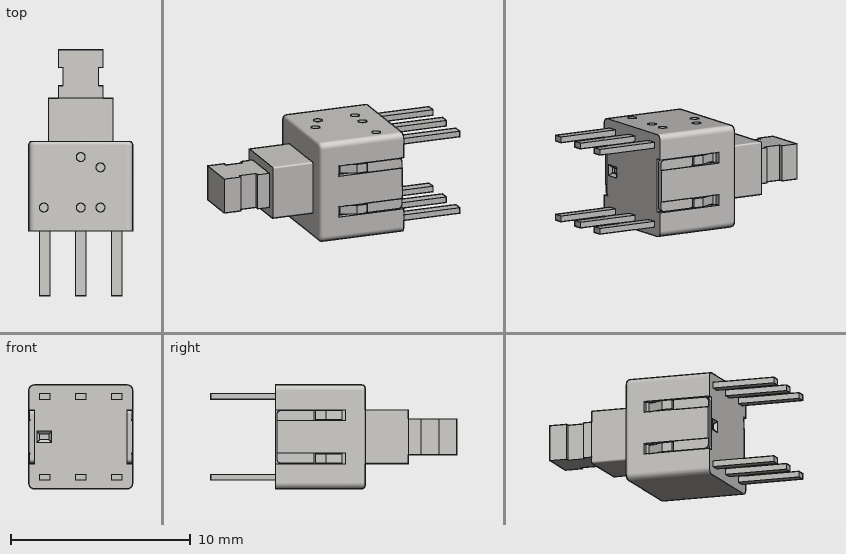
import cadquery as cq


overall_length = 13.7

body_side = 5.8
body_length = 5.0
body_corner_radius = 0.33
body_rim_radius = 0.2

sleeve_width = 3.6
sleeve_height = 3.0
sleeve_length = 2.4
sleeve_edge_radius = 0.1
plunger_width = 2.5
plunger_height = 2.0
plunger_head_length = 1.0
plunger_neck_length = 1.0
plunger_neck_width = 2.0

pin_width = 0.6
pin_thickness = 0.33
pin_length = 3.6
pin_pitch = 2.0
pin_row_spacing = 4.5

dimple_diameter = 0.5
dimple_depth = 0.2
dimple_front_y = 1.32
dimple_right_x = 1.1
dimple_positions = [
    (-2.05, dimple_front_y),
    (0, dimple_front_y),
    (dimple_right_x, dimple_front_y),
    (dimple_right_x, 3.55),
    (0, 4.12),
]

window_height = sleeve_height
window_length = 3.89
window_depth = 0.32
slot_height = 0.6
latch_setback = 0.08
latch_end = 2.15
latch_recess = 0.05
latch_clearance = 0.04
latch_corner_radius = 0.2
bump_height = 0.51
bump_start = 2.22
bump_ramp_start = 2.81
bump_end = 3.7

gate_x = -2.03
gate_width = 0.82
gate_height = 0.63
gate_well_width = 0.51
gate_well_height = 0.3
gate_taper_depth = 0.16
gate_well_depth = 0.14

body_face_x = body_side / 2
window_floor_x = body_face_x - window_depth
sleeve_end_y = body_length + sleeve_length
plunger_length = overall_length - pin_length - sleeve_end_y


def box(x_range, y_range, z_range):
    """Box spanning the three given (low, high) ranges."""
    size = [high - low for low, high in (x_range, y_range, z_range)]
    lows = (x_range[0], y_range[0], z_range[0])
    return cq.Workplane("XY").box(*size, centered=False).translate(lows)


def bar(width, height, y_start, length):
    """Rectangular bar along Y, centred on the Y axis."""
    y_range = (y_start, y_start + length)
    return box((-width / 2, width / 2), y_range, (-height / 2, height / 2))


def make_body():
    body = bar(body_side, body_side, 0, body_length)
    body = body.edges("|Y").fillet(body_corner_radius)
    return body.faces(">Y").edges().fillet(body_rim_radius)


def make_sleeve():
    sleeve = bar(sleeve_width, sleeve_height, body_length, sleeve_length)
    return sleeve.edges("|Y").fillet(sleeve_edge_radius)


def make_plunger():
    """Plunger with a notch in each side that leaves a narrower neck."""
    plunger_tip_y = sleeve_end_y + plunger_length
    neck_end_y = plunger_tip_y - plunger_head_length
    neck_start_y = neck_end_y - plunger_neck_length
    base = bar(plunger_width, plunger_height, sleeve_end_y, neck_start_y - sleeve_end_y)
    neck = bar(plunger_neck_width, plunger_height, neck_start_y, plunger_neck_length)
    head = bar(plunger_width, plunger_height, neck_end_y, plunger_head_length)
    return base.union(neck).union(head)


def make_pins():
    return (
        cq.Workplane("XZ")
        .rarray(pin_pitch, pin_row_spacing, 3, 2)
        .rect(pin_width, pin_thickness)
        .extrude(pin_length)
    )


def make_dimples():
    return (
        cq.Workplane("XY", origin=(0, 0, body_side / 2))
        .pushPoints(dimple_positions)
        .circle(dimple_diameter / 2)
        .extrude(-dimple_depth)
    )


def make_window():
    """Recess in the +X face, open toward the pins."""
    half_height = window_height / 2
    return box((window_floor_x, body_face_x), (0, window_length), (-half_height, half_height))


def make_latch():
    """Everything that stands on the floor of the +X window."""
    tongue_half_height = window_height / 2 - slot_height
    tongue = box(
        (window_floor_x, body_face_x),
        (latch_setback, window_length),
        (-tongue_half_height, tongue_half_height),
    )

    plate_half_height = window_height / 2 - latch_clearance
    plate = box(
        (window_floor_x, body_face_x - latch_recess),
        (latch_setback, latch_end),
        (-plate_half_height, plate_half_height),
    )
    plate = plate.edges("|X and <Y").fillet(latch_corner_radius)

    bump_outline = [
        (window_floor_x, bump_start),
        (body_face_x, bump_start),
        (body_face_x, bump_ramp_start),
        (window_floor_x, bump_end),
    ]
    upper_bump = (
        cq.Workplane("XY", origin=(0, 0, plate_half_height))
        .polyline(bump_outline)
        .close()
        .extrude(-bump_height)
    )
    lower_bump = upper_bump.mirror("XY")
    return tongue.union(plate).union(upper_bump).union(lower_bump)


def make_gate_pocket():
    mouth = (
        cq.Workplane("XZ", origin=(gate_x, 0, 0))
        .rect(gate_width, gate_height)
        .workplane(offset=-gate_taper_depth)
        .rect(gate_well_width, gate_well_height)
        .loft(ruled=True)
    )
    well = bar(gate_well_width, gate_well_height, gate_taper_depth, gate_well_depth)
    return mouth.union(well.translate((gate_x, 0, 0)))


window = make_window()
latch = make_latch()

body = make_body().cut(make_dimples()).cut(make_gate_pocket())
body = body.cut(window).cut(window.mirror("YZ"))
body = body.union(latch).union(latch.mirror("YZ"))

result = body.union(make_sleeve()).union(make_plunger()).union(make_pins())